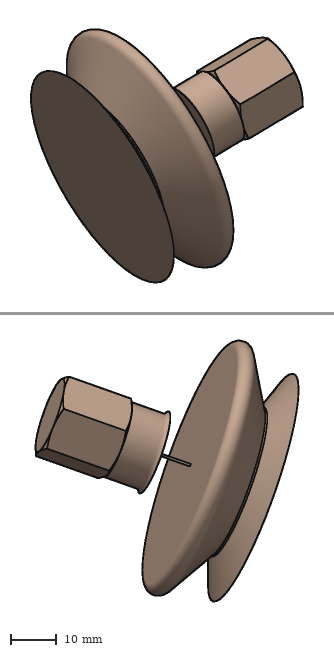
import cadquery as cq
import math

total_length = 48.0

cup_diameter = 59.0
lip_radius = 26.45
waist_radius = 17.35
waist_front_y = 3.7
waist_rear_y = 4.2
cup_rear_y = 14.9
rim_round = 2.0

neck_radius = 17.5 / 2
flare_y = 23.4
flare_length = 1.05
flare_width = 0.75

hex_front_y = 32.1
hex_across_flats = 17.0
hex_sides = 6
hex_turn = -11.1
chamfer_angle = 25.0

stem_radius = 0.3


def revolve_about_y(profile):
    return profile.close().revolve(360, (0, 0, 0), (0, 1, 0))


def make_cup():
    rim_center_radius = cup_diameter / 2 - rim_round
    rim_center_y = cup_rear_y - rim_round

    run = rim_center_radius - waist_radius
    rise = rim_center_y - waist_rear_y
    cone_angle = math.atan2(rise, run) - math.asin(rim_round / math.hypot(run, rise))
    tangent_radius = rim_center_radius + rim_round * math.sin(cone_angle)
    tangent_y = rim_center_y - rim_round * math.cos(cone_angle)

    profile = (
        cq.Workplane("XY")
        .lineTo(lip_radius, 0)
        .lineTo(waist_radius, waist_front_y)
        .lineTo(waist_radius, waist_rear_y)
        .lineTo(tangent_radius, tangent_y)
        .threePointArc((cup_diameter / 2, rim_center_y), (rim_center_radius, cup_rear_y))
        .lineTo(0, cup_rear_y)
    )
    return revolve_about_y(profile)


def make_neck():
    flare_radius = neck_radius + flare_width

    flare_round = (flare_length**2 + flare_width**2) / (2 * flare_width)
    half_sweep = math.asin(flare_length / flare_round) / 2
    flare_middle = (
        neck_radius + flare_round * (1 - math.cos(half_sweep)),
        flare_y + flare_length - flare_round * math.sin(half_sweep),
    )
    profile = (
        cq.Workplane("XY")
        .moveTo(0, flare_y)
        .lineTo(flare_radius, flare_y)
        .threePointArc(flare_middle, (neck_radius, flare_y + flare_length))
        .lineTo(neck_radius, hex_front_y)
        .lineTo(0, hex_front_y)
    )
    return revolve_about_y(profile)


def make_hexagon():
    flat_radius = hex_across_flats / 2
    corner_radius = flat_radius / math.cos(math.pi / hex_sides)
    chamfer_length = (corner_radius - flat_radius) * math.tan(math.radians(chamfer_angle))

    prism = (
        cq.Workplane("XZ", origin=(0, total_length, 0))
        .polygon(hex_sides, 2 * corner_radius)
        .extrude(total_length - hex_front_y)
        .rotate((0, 0, 0), (0, 1, 0), -hex_turn)
    )
    envelope = revolve_about_y(
        cq.Workplane("XY")
        .moveTo(0, hex_front_y)
        .lineTo(flat_radius, hex_front_y)
        .lineTo(corner_radius, hex_front_y + chamfer_length)
        .lineTo(corner_radius, total_length - chamfer_length)
        .lineTo(flat_radius, total_length)
        .lineTo(0, total_length)
    )
    return prism.intersect(envelope)


def make_stem():
    stem = cq.Workplane("XZ", origin=(0, flare_y, 0)).circle(stem_radius)
    return stem.extrude(flare_y - cup_rear_y)


result = make_cup().union(make_stem()).union(make_neck()).union(make_hexagon())